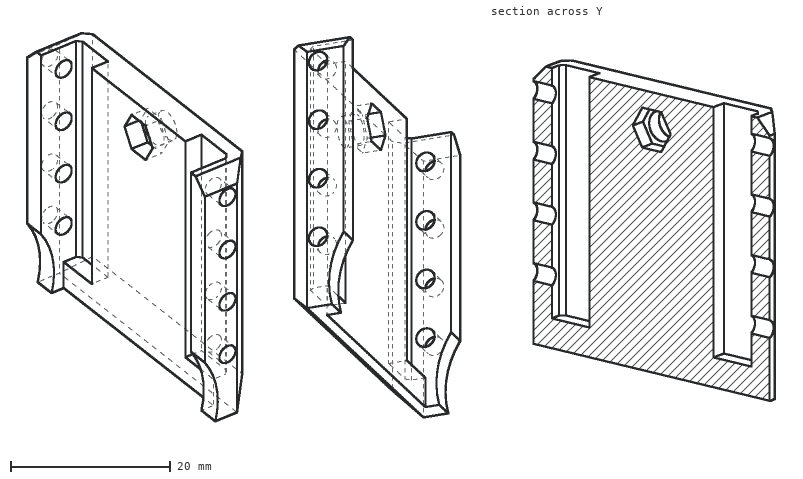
import cadquery as cq

width = 38.0
depth = 8.0
height = 37.0

back_chamfer = 3.0
top_corner_chamfer = 2.0

wall = 3.0
pad_depth = 4.5
pad_width = 20.0
channel_floor = 2.0
channel_corner_chamfer = 0.6
ledge_height = 4.0

pin_hole_diameter = 2.5
pin_hole_count = 4
pin_hole_pitch = 8.0
lowest_pin_hole_z = 9.5

screw_hole_diameter = 4.0
nut_sides = 6
nut_across_corners = 6.0
nut_pocket_depth = 2.5
screw_z = 32.0

relief_radius = 12.0
relief_depth = 2.0
relief_z = 3.0

half_width = width / 2
inner_half_width = half_width - wall


def along_x(radius, y, z):
    """Cylinder parallel to X that spans the whole width."""
    profile = cq.Workplane("YZ").center(y, z).circle(radius)
    return profile.extrude(half_width, both=True)


def outer_body():
    """U-shaped block with its back, bottom and top corner edges bevelled."""
    body = cq.Workplane("XY").box(width, depth, height, centered=(True, False, False))
    body = body.translate((0, -depth, 0))
    body = body.edges("|Y and >Z").chamfer(top_corner_chamfer)
    for side in (-1, 1):
        bevel = (
            cq.Workplane("XY")
            .moveTo(side * half_width, 0)
            .lineTo(side * (half_width - back_chamfer), 0)
            .lineTo(side * half_width, -back_chamfer)
            .close()
            .extrude(height)
        )
        body = body.cut(bevel)
    bottom_bevel = (
        cq.Workplane("YZ")
        .moveTo(0, 0)
        .lineTo(-back_chamfer, 0)
        .lineTo(0, back_chamfer)
        .close()
        .extrude(half_width, both=True)
    )
    opening = (
        cq.Workplane("XY")
        .box(2 * inner_half_width, depth - pad_depth, height, centered=(True, False, False))
        .translate((0, -depth, 0))
    )
    return body.cut(bottom_bevel).cut(opening)


def channel(side):
    """Groove between the centre pad and one wall, open at the top and closed by the ledge."""
    return (
        cq.Workplane("XY")
        .workplane(offset=ledge_height)
        .moveTo(side * pad_width / 2, -pad_depth)
        .lineTo(side * pad_width / 2, -channel_floor)
        .lineTo(side * (inner_half_width - channel_corner_chamfer), -channel_floor)
        .lineTo(side * inner_half_width, -channel_floor - channel_corner_chamfer)
        .lineTo(side * inner_half_width, -pad_depth)
        .close()
        .extrude(height - ledge_height)
    )


def wall_zone():
    """Space occupied by both side walls, used to keep cuts out of the centre pad."""
    zone = cq.Workplane("XY").box(width, depth, height, centered=(True, False, False))
    core = cq.Workplane("XY").box(2 * inner_half_width, depth, height, centered=(True, False, False))
    return zone.cut(core).translate((0, -depth, 0))


def pin_holes():
    """Column of holes through both side walls, level with the face of the centre pad."""
    holes = cq.Workplane("XY")
    for index in range(pin_hole_count):
        z = lowest_pin_hole_z + index * pin_hole_pitch
        holes = holes.add(along_x(pin_hole_diameter / 2, -pad_depth, z))
    return holes.combine().intersect(wall_zone())


def foot_relief():
    """Shallow cylindrical scoop in the free edge of the side walls."""
    axis_y = -depth + relief_depth - relief_radius
    return along_x(relief_radius, axis_y, relief_z)


def screw_hole():
    """Through hole with a nut pocket sunk into the centre pad."""
    pad_face = cq.Workplane("XZ", origin=(0, -pad_depth, screw_z))
    shank = pad_face.circle(screw_hole_diameter / 2).extrude(-pad_depth)
    pocket = pad_face.polygon(nut_sides, nut_across_corners).extrude(-nut_pocket_depth)
    return shank.union(pocket)


result = outer_body()
for wall_side in (-1, 1):
    result = result.cut(channel(wall_side))
result = result.cut(pin_holes()).cut(foot_relief()).cut(screw_hole())